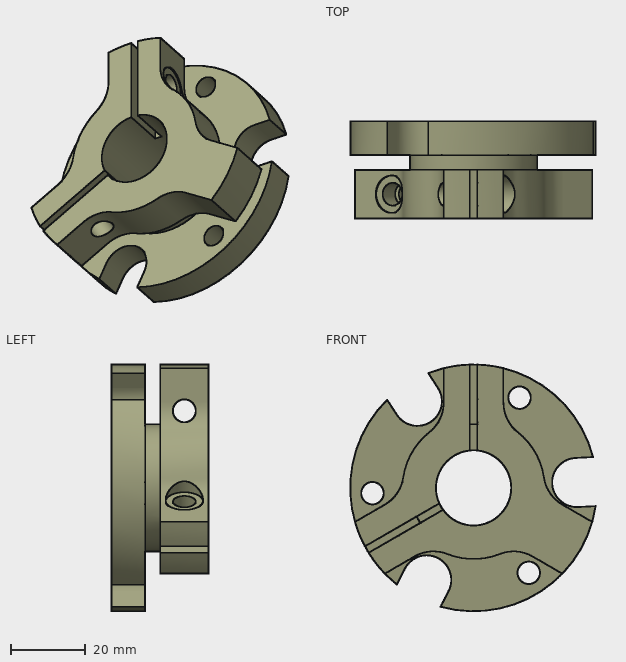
import cadquery as cq
import math

outer_radius = 32.95
bore_radius = 10.0
clamp_thickness = 13.0
neck_length = 3.95
plate_thickness = 9.0
neck_radius = 17.0

hub_radius = 19.0
arm_half_width = 8.0
arm_fillet = 10.0
slit_width = 2.0

screw_distance = 20.55
screw_radius = 3.0
head_radius = 5.0
head_seat_depth = 0.3

notch_angle = 3.0
notch_distance = 27.55
notch_radius = 6.5
hole_angle = notch_angle + 60.0
hole_distance = 27.0
hole_radius = 2.95

arm_count = 3
arm_spacing = 360.0 / arm_count
arm_angles = [90.0 + index * arm_spacing for index in range(arm_count)]
slit_arm_angles = arm_angles[:2]

neck_start = clamp_thickness
plate_start = neck_start + neck_length
total_length = plate_start + plate_thickness


def section(start):
    """XZ sketch plane at the given Y, where a negative extrusion runs toward +Y."""
    return cq.Workplane("XZ", origin=(0, start, 0))


def cylinder(radius, start, length):
    return section(start).circle(radius).extrude(-length)


def turned(shape, angle):
    """Turn a shape counter-clockwise from +X, as seen from the clamp face."""
    return shape.rotate((0, 0, 0), (0, 1, 0), -angle)


def make_arm():
    """Arm along +X, with concave flanks tangent to the hub and to the arm sides."""
    center_offset = arm_half_width + arm_fillet
    center_reach = math.sqrt((hub_radius + arm_fillet) ** 2 - center_offset**2)
    center_angle = math.atan2(center_offset, center_reach)
    hub_x = hub_radius * math.cos(center_angle)
    hub_z = hub_radius * math.sin(center_angle)
    mid_angle = (center_angle + math.pi / 2) / 2
    mid_x = center_reach - arm_fillet * math.cos(mid_angle)
    mid_z = center_offset - arm_fillet * math.sin(mid_angle)
    blank = (
        section(0)
        .lineTo(hub_x, hub_z)
        .threePointArc((mid_x, mid_z), (center_reach, arm_half_width))
        .lineTo(outer_radius, arm_half_width)
        .lineTo(outer_radius, -arm_half_width)
        .lineTo(center_reach, -arm_half_width)
        .threePointArc((mid_x, -mid_z), (hub_x, -hub_z))
        .close()
        .extrude(-clamp_thickness)
    )
    return blank.intersect(cylinder(outer_radius, 0, clamp_thickness))


def make_slit():
    """Slit along +X, from the bore through the end of the arm."""
    return (
        section(0)
        .center(outer_radius / 2, 0)
        .rect(outer_radius, slit_width)
        .extrude(-clamp_thickness)
    )


def make_screw_hole():
    """Screw hole across an arm along +X, with its head seat on the -Z side."""
    screw_center = (screw_distance, clamp_thickness / 2)
    seat_level = arm_half_width - head_seat_depth
    shank = (
        cq.Workplane("XY", origin=(0, 0, -hub_radius))
        .center(*screw_center)
        .circle(screw_radius)
        .extrude(2 * hub_radius)
    )
    head = (
        cq.Workplane("XY", origin=(0, 0, -seat_level))
        .center(*screw_center)
        .circle(head_radius)
        .extrude(seat_level - hub_radius)
    )
    return shank.union(head)


def make_clamp():
    clamp = cylinder(hub_radius, 0, clamp_thickness)
    for angle in arm_angles:
        clamp = clamp.union(turned(make_arm(), angle))
    for angle in slit_arm_angles:
        clamp = clamp.cut(turned(make_slit(), angle))
        clamp = clamp.cut(turned(make_screw_hole(), angle))
    return clamp


def make_notch():
    """Round-bottomed notch along +X, open at the plate rim."""
    root = section(plate_start).center(notch_distance, 0).circle(notch_radius).extrude(-plate_thickness)
    mouth_length = outer_radius - notch_distance
    mouth = (
        section(plate_start)
        .center(notch_distance + mouth_length / 2, 0)
        .rect(mouth_length, 2 * notch_radius)
        .extrude(-plate_thickness)
    )
    return root.union(mouth)


def make_plate():
    plate = cylinder(outer_radius, plate_start, plate_thickness)
    hole = section(plate_start).center(hole_distance, 0).circle(hole_radius).extrude(-plate_thickness)
    for index in range(arm_count):
        plate = plate.cut(turned(make_notch(), notch_angle + index * arm_spacing))
        plate = plate.cut(turned(hole, hole_angle + index * arm_spacing))
    return plate


neck = cylinder(neck_radius, neck_start, neck_length)
bore = cylinder(bore_radius, 0, total_length)
result = make_clamp().union(neck).union(make_plate()).cut(bore)